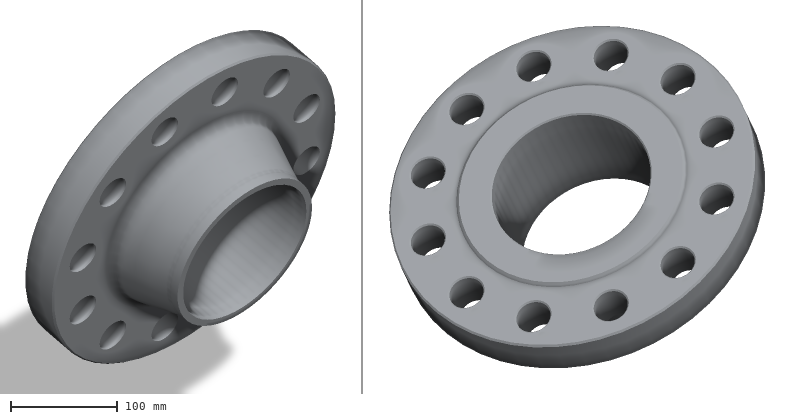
import cadquery as cq

total_length = 115.0
raised_face_height = 3.2
flange_back = 44.0
neck_start = 103.0

flange_radius = 355 / 2
raised_face_radius = 112.0
hub_radius = 105.0
neck_radius = 168.3 / 2
bore_radius = 154.0 / 2

bolt_count = 12
bolt_hole_radius = 33.0 / 2
bolt_circle_radius = 145.0
bolt_angle_step = 360 / bolt_count

hub_fillet = 10.0
rim_chamfer = 1.8
raised_face_chamfer = 3.2
hole_chamfer = 1.5

selection_margin = 0.5


def make_body():
    """Revolve the solid weld-neck profile around X, then blend the hub."""
    profile = (
        cq.Workplane("XY")
        .moveTo(0, 0)
        .lineTo(0, raised_face_radius - raised_face_chamfer)
        .lineTo(raised_face_height, raised_face_radius)
        .lineTo(raised_face_height, flange_radius - rim_chamfer)
        .lineTo(raised_face_height + rim_chamfer, flange_radius)
        .lineTo(flange_back - rim_chamfer, flange_radius)
        .lineTo(flange_back, flange_radius - rim_chamfer)
        .lineTo(flange_back, hub_radius)
        .lineTo(neck_start, neck_radius)
        .lineTo(total_length, neck_radius)
        .lineTo(total_length, 0)
        .close()
    )
    body = profile.revolve(360, (0, 0, 0), (1, 0, 0))

    reach = hub_radius + selection_margin
    hub_ends = cq.selectors.BoxSelector(
        (flange_back - selection_margin, -reach, -reach),
        (neck_start + selection_margin, reach, reach),
        boundingbox=True,
    )
    return body.edges("%CIRCLE").edges(hub_ends).fillet(hub_fillet)


def make_bore():
    """Through bore with a chamfered mouth at the sealing face."""
    bore = cq.Workplane("YZ").circle(bore_radius).extrude(total_length)
    return bore.union(make_mouth(0, bore_radius))


def make_mouth(face_x, radius):
    """Cone that chamfers the rim of a hole opening at face_x."""
    return cq.Workplane(
        cq.Solid.makeCone(
            radius + hole_chamfer, radius, hole_chamfer,
            pnt=cq.Vector(face_x, 0, 0), dir=cq.Vector(1, 0, 0),
        )
    )


def make_bolt_hole():
    """Bolt hole on the X axis, chamfered at the front of the flange."""
    hole = cq.Workplane("YZ").circle(bolt_hole_radius).extrude(flange_back)
    return hole.union(make_mouth(raised_face_height, bolt_hole_radius))


result = make_body().cut(make_bore())

bolt_hole = make_bolt_hole().translate((0, bolt_circle_radius, 0))
for index in range(bolt_count):
    angle = (index + 0.5) * bolt_angle_step
    result = result.cut(bolt_hole.rotate((0, 0, 0), (1, 0, 0), angle))